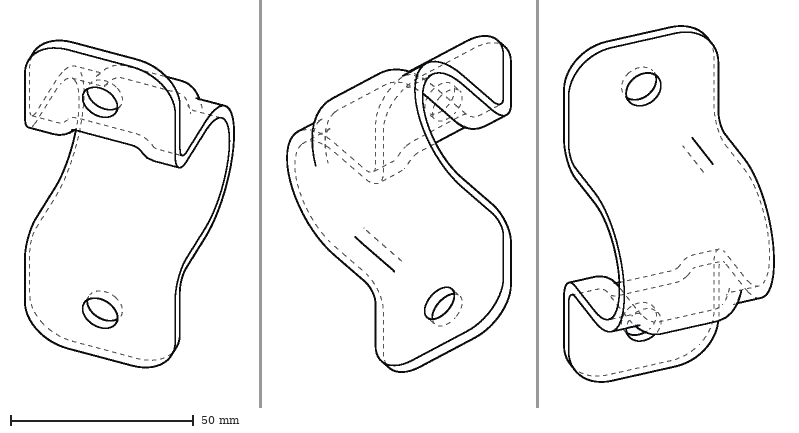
import cadquery as cq
import math


width = 44.45
length = 107.95
depth = 46.27
thickness = 3.4163
bore_radius = 17.4625
bead_flat = 16.5
bead_height = 3.571875
bead_inner_radius = 1.5875
bend_inner_radius = 4.7625
hole_diameter = 10.31
hole_spacing = 76.2
corner_radius = 12.7

bead_outer_radius = bead_inner_radius + thickness
bend_outer_radius = bend_inner_radius + thickness
wing_outer_radius = bore_radius + thickness
axis_y = depth - wing_outer_radius - bead_height
bead_radius_sum = bead_inner_radius + bead_outer_radius
bead_angle = math.acos(1 - bead_height / bead_radius_sum)
bead_reach = wing_outer_radius + bead_height

selection_margin = 0.01


def arc_point(x_center, r_center, radius, angle):
    """Point on an arc, with the angle measured from the radial direction."""
    return x_center + radius * math.sin(angle), r_center + radius * math.cos(angle)


def mirrored(point):
    """Same point on the -X side of the section."""
    return -point[0], point[1]


def saddle_section(wing_radius, crown_radius, foot_radius):
    """Closed section from the pipe axis out to the flat wings and the raised bead."""
    crown_x = bead_flat / 2
    crown_r = wing_radius + bead_height - crown_radius
    foot_x = crown_x + bead_radius_sum * math.sin(bead_angle)
    foot_r = wing_radius + foot_radius

    crown_end = (crown_x, wing_radius + bead_height)
    crown_mid = arc_point(crown_x, crown_r, crown_radius, bead_angle / 2)
    joint = arc_point(crown_x, crown_r, crown_radius, bead_angle)
    foot_mid = arc_point(foot_x, foot_r, foot_radius, math.pi + bead_angle / 2)
    foot_end = (foot_x, wing_radius)

    plane = cq.Plane(origin=(0, axis_y, 0), xDir=(1, 0, 0), normal=(0, -1, 0))
    return (
        cq.Workplane(plane)
        .moveTo(-width / 2, 0)
        .lineTo(-width / 2, wing_radius)
        .lineTo(*mirrored(foot_end))
        .threePointArc(mirrored(foot_mid), mirrored(joint))
        .threePointArc(mirrored(crown_mid), mirrored(crown_end))
        .lineTo(*crown_end)
        .threePointArc(crown_mid, joint)
        .threePointArc(foot_mid, foot_end)
        .lineTo(width / 2, wing_radius)
        .lineTo(width / 2, 0)
        .close()
    )


def saddle_on_plate(wing_radius, crown_radius, foot_radius, face_y, bend_radius):
    """Solid saddle on a plate that ends at Y = face_y, with the bends rounded."""
    section = saddle_section(wing_radius, crown_radius, foot_radius)
    arch = section.revolve(180, (0, 0), (-1, 0))
    section = saddle_section(wing_radius, crown_radius, foot_radius)
    leg = section.extrude(axis_y - face_y + thickness / 2)
    plate = cq.Workplane("XY").box(width, thickness, length).translate((0, face_y - thickness / 2, 0))
    body = arch.union(leg).union(leg.mirror("XY")).union(plate)

    bend_zone = cq.selectors.BoxSelector(
        (-width, face_y - selection_margin, -bead_reach - selection_margin),
        (width, face_y + selection_margin, bead_reach + selection_margin),
        boundingbox=True,
    )
    return body.faces("|Y").edges(bend_zone).fillet(bend_radius)


def flange_outline():
    """Rounded block that trims the corners of both flanges."""
    block = cq.Workplane("XY").box(width, depth, length, centered=(True, False, True))
    return block.edges("|Y").fillet(corner_radius)


def mounting_holes():
    """One screw hole cutter through each flange."""
    centers = [(0, -hole_spacing / 2), (0, hole_spacing / 2)]
    return cq.Workplane("XZ").pushPoints(centers).circle(hole_diameter / 2).extrude(-thickness)


outer_body = saddle_on_plate(
    wing_outer_radius, bead_outer_radius, bead_inner_radius, thickness, bend_inner_radius
)
cavity = saddle_on_plate(bore_radius, bead_inner_radius, bead_outer_radius, 0, bend_outer_radius)
sheet = outer_body.cut(cavity)

result = sheet.intersect(flange_outline()).cut(mounting_holes()).solids()